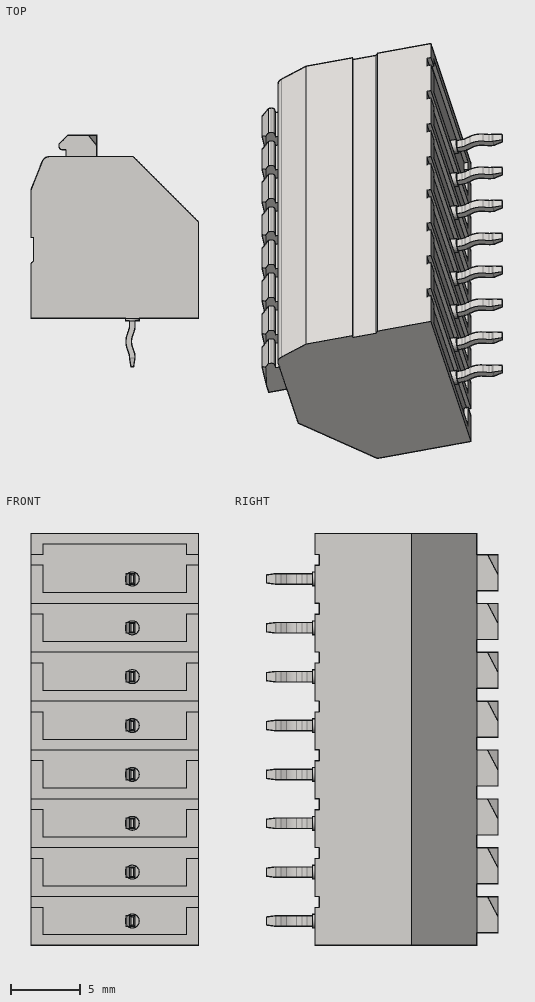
import cadquery as cq
import math

pole_count = 8
height = 29.5
end_plate = 1.5
pitch = (height - end_plate) / pole_count

width = 12.0
depth = 11.6
back_chamfer = 4.7
slope_start_y = 9.2
slope_end_x = 0.95
slope_round = 0.6
groove_depth = 0.18
groove_front_y = 3.92
groove_back_y = 5.78

recess_depth = 0.3
wall = 0.77
side_wall = 0.85

pin_x = 7.25
collar_diameter = 1.0
collar_length = 0.18
pin_thickness = 0.4
pin_height = 0.77
pin_bend_angle = 19.0
bend_start_y = -0.55
outer_bend_length = 0.3
middle_bend_length = 0.85
slant_length = 0.38
tip_start_y = -2.83
pin_end_y = -3.48
tip_thickness = 0.2
tip_height = 0.6

latch_left_x = 2.5
latch_right_x = 4.72
latch_hook_x = 2.0
latch_end_y = 13.13
latch_hook_y = 12.07
latch_nose_round = 0.25
latch_height = 2.6
latch_slope_width = 0.65

back_corner_cut = (0.62, 0.77, 1.48)
slope_corner_cut = (1.48, 0.38, 0.55)


def make_housing():
    outline = (
        cq.Workplane("XY")
        .moveTo(0, 0)
        .lineTo(width, 0)
        .lineTo(width, depth - back_chamfer)
        .lineTo(width - back_chamfer, depth)
        .lineTo(slope_end_x, depth)
        .lineTo(0, slope_start_y)
        .lineTo(0, groove_back_y)
        .lineTo(groove_depth, groove_back_y)
        .lineTo(groove_depth, groove_front_y + groove_depth)
        .lineTo(0, groove_front_y)
        .close()
    )
    housing = outline.extrude(height)
    slope_edge = cq.selectors.NearestToPointSelector((slope_end_x, depth, height / 2))
    return housing.edges(slope_edge).fillet(slope_round)


def front_cut(x_size, z_bottom, z_top):
    """Shallow block removed from the mounting face, centred across the width."""
    return (
        cq.Workplane("XY")
        .box(x_size, recess_depth, z_top - z_bottom, centered=(True, False, False))
        .translate((width / 2, 0, z_bottom))
    )


def make_pin(z):
    collar = (
        cq.Workplane("XZ", origin=(pin_x, recess_depth, z))
        .circle(collar_diameter / 2)
        .extrude(recess_depth + collar_length)
    )
    angle = math.radians(pin_bend_angle)
    outer_shift = outer_bend_length * math.tan(angle / 2)
    slant_shift = slant_length * math.tan(angle)
    slant_x = pin_x - outer_shift
    middle_x = slant_x - slant_shift
    slant_y = bend_start_y - outer_bend_length
    middle_y = slant_y - slant_length
    return_y = middle_y - middle_bend_length
    last_bend_y = return_y - slant_length
    path = (
        cq.Workplane("XY", origin=(0, 0, z))
        .moveTo(pin_x, 0)
        .lineTo(pin_x, bend_start_y)
        .tangentArcPoint((slant_x, slant_y), relative=False)
        .lineTo(middle_x, middle_y)
        .tangentArcPoint((middle_x, return_y), relative=False)
        .lineTo(slant_x, last_bend_y)
        .tangentArcPoint((pin_x, last_bend_y - outer_bend_length), relative=False)
        .lineTo(pin_x, tip_start_y)
    )
    shank = cq.Workplane("XZ", origin=(pin_x, 0, z)).rect(pin_thickness, pin_height).sweep(path)
    tip = (
        cq.Workplane("XZ", origin=(pin_x, tip_start_y, z))
        .rect(pin_thickness, pin_height)
        .workplane(offset=tip_start_y - pin_end_y)
        .rect(tip_thickness, tip_height)
        .loft()
    )
    return collar.union(shank).union(tip)


def corner_wedge(corner, *ends):
    """Tetrahedron that spans a corner and one end point on each of its three edges."""
    origin = cq.Vector(*corner)
    tips = [origin + cq.Vector(*end) for end in ends]
    triangles = [tips] + [[origin, tips[i], tips[i - 1]] for i in range(len(tips))]
    faces = [cq.Face.makeFromWires(cq.Wire.makePolygon(points, close=True)) for points in triangles]
    return cq.Workplane(cq.Solid.makeSolid(cq.Shell.makeShell(faces)))


def make_latch(z_top):
    z_bottom = z_top - latch_height
    slope_top_x = latch_hook_x + latch_slope_width
    latch = (
        cq.Workplane("XY", origin=(0, 0, z_bottom))
        .moveTo(latch_left_x, depth)
        .lineTo(latch_right_x, depth)
        .lineTo(latch_right_x, latch_end_y)
        .lineTo(slope_top_x, latch_end_y)
        .lineTo(latch_hook_x, latch_end_y - latch_slope_width)
        .lineTo(latch_hook_x, latch_hook_y + latch_nose_round)
        .tangentArcPoint((latch_hook_x + latch_nose_round, latch_hook_y), relative=False)
        .lineTo(latch_left_x, latch_hook_y)
        .close()
        .extrude(latch_height)
    )
    x_cut, y_cut, z_cut = back_corner_cut
    latch = latch.cut(
        corner_wedge((latch_right_x, latch_end_y, z_top), (-x_cut, 0, 0), (0, -y_cut, 0), (0, 0, -z_cut))
    )
    x_cut, slope_cut, z_cut = slope_corner_cut
    return latch.cut(
        corner_wedge(
            (slope_top_x, latch_end_y, z_bottom), (x_cut, 0, 0), (-slope_cut, -slope_cut, 0), (0, 0, z_cut)
        )
    )


result = make_housing()
for pole in range(pole_count):
    bottom = pole * pitch
    top = bottom + pitch
    result = result.cut(front_cut(width - 2 * side_wall, bottom + wall, top))
    result = result.cut(front_cut(width, top - wall, top))
result = result.cut(front_cut(width - 2 * side_wall, height - end_plate, height - wall))

for pole in range(pole_count):
    bottom = pole * pitch
    result = result.union(make_pin(bottom + pitch / 2))
    result = result.union(make_latch(bottom + pitch))